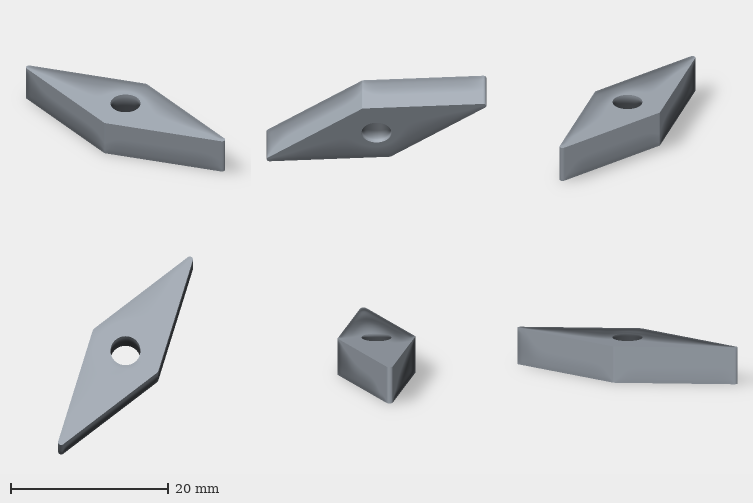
import cadquery as cq
import math

inscribed_circle = 9.525
thickness = 4.76
acute_angle = 35.0
nose_radius = 0.398
hole_diameter = 3.81

side_length = inscribed_circle / math.sin(math.radians(acute_angle))
slant_run = side_length * math.cos(math.radians(acute_angle))
half_length = (side_length + slant_run) / 2
half_width = inscribed_circle / 2


def rhombic_body():
    """Rhombic plate centred on the Z axis, with all four corners rounded."""
    corners = [
        (-half_length, -half_width),
        (-half_length + side_length, -half_width),
        (half_length, half_width),
        (half_length - side_length, half_width),
    ]
    plate = cq.Workplane("XY").polyline(corners).close().extrude(thickness)
    return plate.edges("|Z").fillet(nose_radius)


def clamping_hole(body):
    """Drill the central hole through the full thickness."""
    return body.faces(">Z").workplane(origin=(0, 0, thickness)).hole(hole_diameter)


result = clamping_hole(rhombic_body())